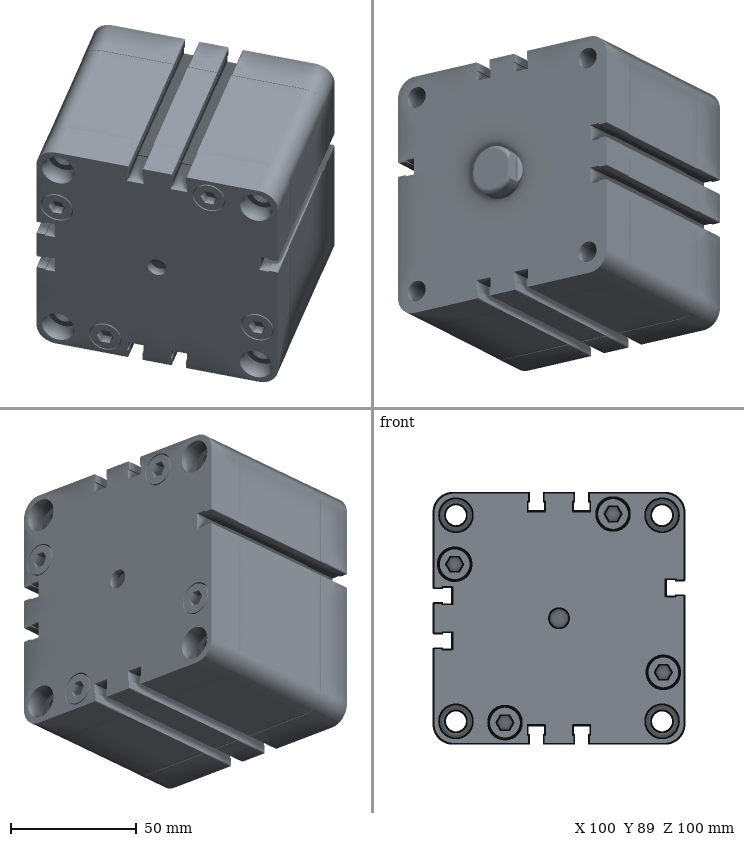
import cadquery as cq
import math

cap_side = 100.0
barrel_side = 99.7
cap_half = cap_side / 2
cap_length = 16.0
body_length = 81.0
barrel_length = body_length - 2 * cap_length
cap_corner_radius = 8.0
barrel_corner_radius = 7.6

throat_width = 5.8
chamber_width = 6.8
throat_depth = 3.6
cap_slot_depth = 7.7
barrel_slot_depth = 7.3
mouth_chamfer = 0.3
slot_offset = 9.0
single_slot_offset = 12.1

mount_offset = 41.0
mount_diameter = 8.6
mount_bore_diameter = 13.5
mount_bore_depth = 8.6

screw_near_offset = 21.5
screw_far_offset = 41.5
screw_bore_diameter = 13.5
screw_head_diameter = 12.5
screw_bore_depth = 8.0
hex_across_flats = 6.0
hex_depth = 4.0

port_diameter = 8.0
port_depth = 4.0

rod_diameter = 20.0
rod_length = 8.0
rod_end_radius = 1.7
wrench_width = 17.0
wrench_flat_length = 6.2


def plane_at(y):
    """Plane facing +Y, with local axes along +Z and +X."""
    return cq.Plane(origin=(0, y, 0), xDir=(0, 0, 1), normal=(0, 1, 0))


def drill(points, diameter, depth):
    """Cylinders running from the front face into the housing, at (x, z) points."""
    spots = [(z, x) for x, z in points]
    return cq.Workplane(plane_at(0)).pushPoints(spots).circle(diameter / 2).extrude(depth)


def slot_cutter(angle, offset, depth, chamfer, start, length):
    """T-slot open at the top side, turned about Y by the angle in degrees."""
    throat = throat_width / 2
    chamber = chamber_width / 2
    right = [
        (throat + chamfer, cap_half),
        (throat, cap_half - mouth_chamfer),
        (throat, cap_half - throat_depth),
        (chamber, cap_half - throat_depth),
        (chamber, cap_half - depth),
    ]
    left = [(-x, z) for x, z in reversed(right)]
    outline = [(z, offset + x) for x, z in right + left]
    cutter = cq.Workplane(plane_at(start)).polyline(outline).close().extrude(length)
    return cutter.rotate((0, 0, 0), (0, 1, 0), angle)


def section(start, length, side, corner_radius, slot_depth, level_chamfer):
    """Slotted square length of the housing; level_chamfer is for the top and bottom slots."""
    block = cq.Workplane(plane_at(start)).rect(side, side).extrude(length)
    block = block.edges("|Y").fillet(corner_radius)
    slots = [
        (0, -slot_offset, level_chamfer),
        (0, slot_offset, level_chamfer),
        (180, -slot_offset, level_chamfer),
        (180, slot_offset, level_chamfer),
        (-90, -slot_offset, mouth_chamfer),
        (-90, slot_offset, mouth_chamfer),
        (90, -single_slot_offset, mouth_chamfer),
    ]
    for angle, offset, chamfer in slots:
        block = block.cut(slot_cutter(angle, offset, slot_depth, chamfer, start, length))
    return block


def make_rod():
    rod_end = body_length + rod_length
    rod_radius = rod_diameter / 2
    rod = cq.Workplane(plane_at(body_length)).circle(rod_radius).extrude(rod_length)
    rod = rod.faces(">Y").edges().fillet(rod_end_radius)
    flat_x = wrench_width / 2
    clear_x = rod_diameter
    flat_start = rod_end - wrench_flat_length
    shoulder_end = flat_start - (rod_radius - flat_x)
    flat = (
        cq.Workplane("XY")
        .polyline([
            (flat_x, rod_end),
            (flat_x, flat_start),
            (rod_radius, shoulder_end),
            (clear_x, shoulder_end),
            (clear_x, rod_end),
        ])
        .close()
        .extrude(rod_radius, both=True)
    )
    return rod.cut(flat).cut(flat.mirror("YZ"))


front_cap = section(0, cap_length, cap_side, cap_corner_radius, cap_slot_depth, mouth_chamfer)
barrel = section(cap_length, barrel_length, barrel_side, barrel_corner_radius, barrel_slot_depth, 0)
rear_cap = front_cap.translate((0, body_length - cap_length, 0))
result = front_cap.union(barrel).union(rear_cap).union(make_rod())

mount_points = [(x, z) for x in (-mount_offset, mount_offset) for z in (-mount_offset, mount_offset)]
result = result.cut(drill(mount_points, mount_diameter, body_length))
result = result.cut(drill(mount_points, mount_bore_diameter, mount_bore_depth))

screw_points = [
    (screw_near_offset, screw_far_offset),
    (-screw_far_offset, screw_near_offset),
    (-screw_near_offset, -screw_far_offset),
    (screw_far_offset, -screw_near_offset),
]
screw_gap = drill(screw_points, screw_bore_diameter, screw_bore_depth).cut(
    drill(screw_points, screw_head_diameter, screw_bore_depth)
)
hex_across_corners = hex_across_flats / math.cos(math.pi / 6)
sockets = (
    cq.Workplane("XZ")
    .pushPoints(screw_points)
    .polygon(6, hex_across_corners)
    .extrude(-hex_depth)
)
result = result.cut(screw_gap).cut(sockets)

result = result.cut(drill([(0, 0)], port_diameter, port_depth))